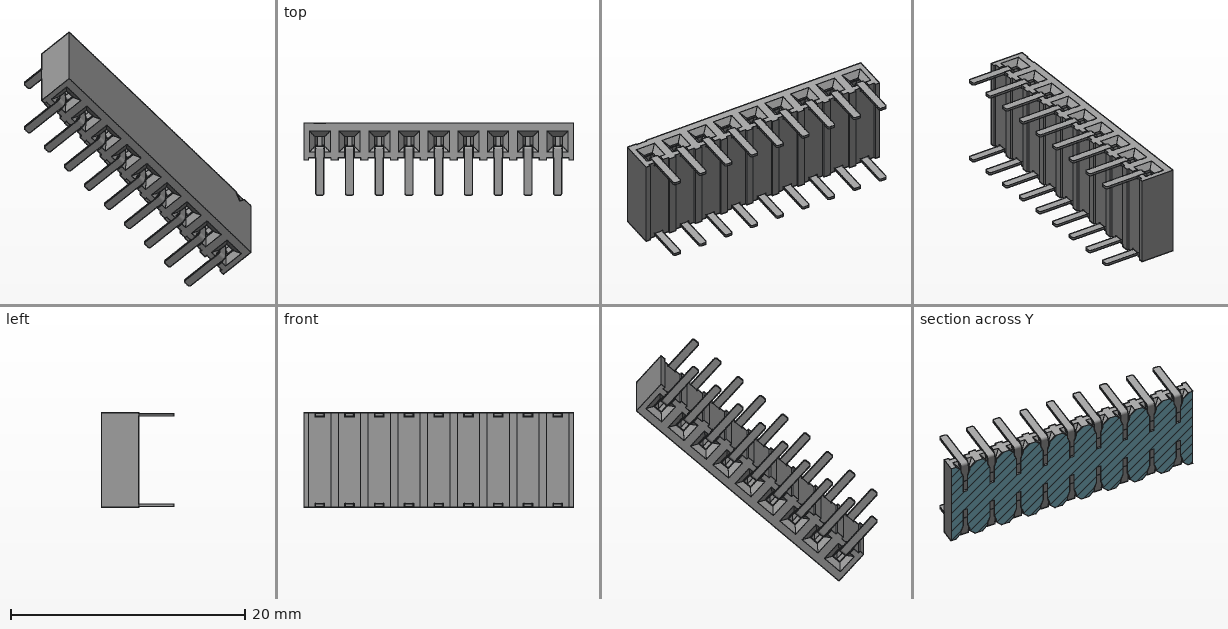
import cadquery as cq

PIN_COUNT = 9
PITCH = 2.54
LENGTH = 23.06
BODY_DEPTH = 3.2
HEIGHT = 8.1
OVERALL_DEPTH = 6.2
TOP = HEIGHT / 2
BACK = BODY_DEPTH / 2
FRONT = -BODY_DEPTH / 2

CHANNEL_WIDTH = 1.9
CHANNEL_DEPTH = 0.2
FRONT_WALL = FRONT + CHANNEL_DEPTH

FUNNEL_SIZE = 1.8
WELL_SIZE = 0.83
FUNNEL_DEPTH = (FUNNEL_SIZE - WELL_SIZE) / 2
FUNNEL_BACK_WALL = 0.7
WELL_Y = BACK - FUNNEL_BACK_WALL - FUNNEL_SIZE / 2
WELL_DEPTH = 3.0
NECK_DEPTH = 0.23
UNDERCUT = 0.1
NECK_BACK = WELL_Y + WELL_SIZE / 2
WELL_BACK = NECK_BACK + UNDERCUT
WELL_FRONT = WELL_Y - WELL_SIZE / 2

SLOT_WIDTH = 0.84
SLOT_DEPTH = 0.35

PIN_WIDTH = 0.7
PIN_THICKNESS = 0.22
PIN_TOP_GAP = 0.08
PIN_TOP = TOP - PIN_TOP_GAP
PIN_TIP = BACK - OVERALL_DEPTH
PIN_TIP_RADIUS = 0.17
BEND_RADIUS = 0.27
PIN_LEG_LENGTH = 2.0
LEG_BACK_OFFSET = 0.02

FINGER_GAP = 0.38
FINGER_FRONT_CLEARANCE = 0.13
FINGER_LEAD_IN = 0.6

MARK_WIDTH = 1.0
MARK_HEIGHT = 0.9
MARK_DEPTH = 0.08

PIN_POSITIONS = [(i - (PIN_COUNT - 1) / 2) * PITCH for i in range(PIN_COUNT)]


def box(width, y_min, y_max, z_min, z_max):
    """Box centred on X = 0 between the given Y and Z limits."""
    return (
        cq.Workplane("XY", origin=(0, (y_min + y_max) / 2, z_min))
        .rect(width, y_max - y_min)
        .extrude(z_max - z_min)
    )


def make_entry():
    """Upper funnel, neck, undercut blind well and pin slot to be removed for one pin."""
    funnel = (
        cq.Workplane("XY", origin=(0, WELL_Y, TOP))
        .rect(FUNNEL_SIZE, FUNNEL_SIZE)
        .workplane(offset=-FUNNEL_DEPTH)
        .rect(WELL_SIZE, WELL_SIZE)
        .loft(ruled=True)
    )
    neck_top = TOP - FUNNEL_DEPTH
    neck_bottom = neck_top - NECK_DEPTH
    neck = box(WELL_SIZE, WELL_FRONT, NECK_BACK, neck_bottom, neck_top)
    well = box(WELL_SIZE, WELL_FRONT, WELL_BACK, TOP - WELL_DEPTH, neck_bottom)
    slot = box(SLOT_WIDTH, FRONT, WELL_FRONT, TOP - SLOT_DEPTH, TOP)
    return funnel.union(neck).union(well).union(slot)


def make_pin():
    """Upper pin, bent down into the front wall of its well."""
    leg_bottom = TOP - PIN_LEG_LENGTH
    leg_back = WELL_FRONT + LEG_BACK_OFFSET
    blade = box(PIN_WIDTH, PIN_TIP, leg_back, PIN_TOP - PIN_THICKNESS, PIN_TOP)
    blade = blade.edges("|Z and <Y").fillet(PIN_TIP_RADIUS)
    leg = box(PIN_WIDTH, leg_back - PIN_THICKNESS, leg_back, leg_bottom, PIN_TOP)
    return blade.union(leg).edges("|X and >Y and >Z").fillet(BEND_RADIUS)


def make_fingers():
    """Pair of tapered spring fingers standing on the floor of an upper well."""
    wall_x = WELL_SIZE / 2
    tip_x = FINGER_GAP / 2
    floor = TOP - WELL_DEPTH
    finger_top = TOP - FUNNEL_DEPTH - NECK_DEPTH
    finger_front = WELL_FRONT + FINGER_FRONT_CLEARANCE
    profile = [
        (wall_x, floor),
        (tip_x, floor),
        (tip_x, finger_top - FINGER_LEAD_IN),
        (wall_x, finger_top),
    ]
    finger = (
        cq.Workplane("XZ", origin=(0, WELL_BACK, 0))
        .polyline(profile)
        .close()
        .extrude(WELL_BACK - finger_front)
    )
    return finger.union(finger.mirror("YZ"))


def make_mark():
    """Shallow triangular notch at the top of the back face."""
    half_width = MARK_WIDTH / 2
    return (
        cq.Workplane("XZ", origin=(PIN_POSITIONS[0], BACK, 0))
        .polyline([(-half_width, TOP), (half_width, TOP), (0, TOP - MARK_HEIGHT)])
        .close()
        .extrude(MARK_DEPTH)
    )


def at_both_ends(shape):
    """Shape together with its mirror image at the lower end of the housing."""
    return [shape.val(), shape.mirror("XY").val()]


def repeat(shapes):
    """Copies of the shapes at every pin position."""
    return [shape.moved(cq.Location(cq.Vector(x, 0, 0))) for x in PIN_POSITIONS for shape in shapes]


channel = box(CHANNEL_WIDTH, FRONT, FRONT_WALL, -TOP, TOP)
cuts = repeat([channel.val()] + at_both_ends(make_entry())) + [make_mark().val()]
contacts = repeat(at_both_ends(make_pin()) + at_both_ends(make_fingers()))

housing = box(LENGTH, FRONT, BACK, -TOP, TOP).val().cut(*cuts)
result = cq.Workplane("XY").newObject([housing.fuse(*contacts)])